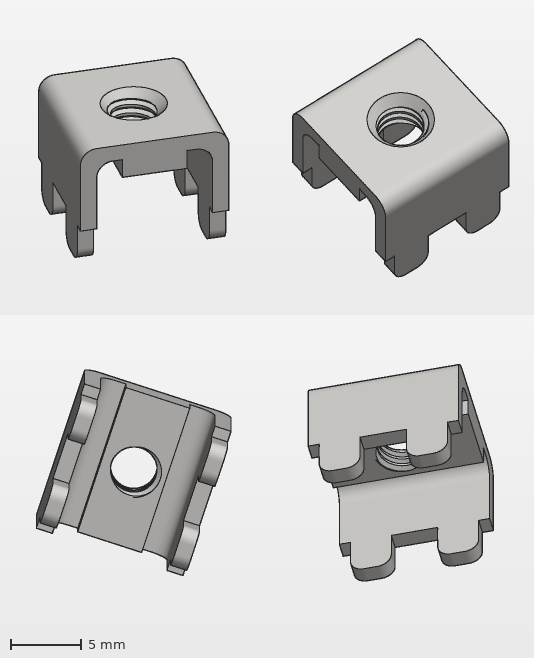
import cadquery as cq
import math

length = 11.0
width = 11.0
height = 9.6
sheet = 1.21
bend_radius = 1.21

shoulder_depth = 6.6
tab_width = 3.0
tab_inset = 0.8
tab_radius = 1.0

rib_width = 4.8
rib_bottom_depth = 2.67

minor_radius = 3.32 / 2
major_radius = 4.0 / 2
countersink_radius = 4.8 / 2
pitch = 0.7
thread_start_depth = 0.41
thread_turns = 4
groove_root_width = pitch / 8
flank_slope = math.tan(math.radians(30))
groove_overlap = 0.05


def make_channel():
    """Inverted U with rounded bends, extending along X."""
    outer = cq.Workplane("XY").box(length, width, height, centered=(True, True, False))
    outer = outer.edges("|X and >Z").fillet(bend_radius)
    inner = cq.Workplane("XY").box(
        length, width - 2 * sheet, height - sheet, centered=(True, True, False)
    )
    inner = inner.edges("|X and >Z").fillet(bend_radius)
    return outer.cut(inner)


def make_leg_outline():
    """Block spanning both legs: full above the shoulders, tabs below."""
    shoulder_z = height - shoulder_depth
    outline = (
        cq.Workplane("XY")
        .workplane(offset=shoulder_z)
        .box(length, width, shoulder_depth, centered=(True, True, False))
    )
    tab_x = length / 2 - tab_inset - tab_width / 2
    for x in (-tab_x, tab_x):
        tab = cq.Workplane("XY").box(tab_width, width, shoulder_z, centered=(True, True, False))
        tab = tab.edges("|Y and <Z").fillet(tab_radius)
        outline = outline.union(tab.translate((x, 0, 0)))
    return outline


def make_rib():
    """Bar along the middle of the web, flush with both ends."""
    rib_height = rib_bottom_depth - sheet
    rib = cq.Workplane("XY").box(length, rib_width, rib_height, centered=(True, True, False))
    return rib.translate((0, 0, height - rib_bottom_depth))


def make_hole():
    """Minor-diameter bore and its conical entry, as one revolved cutter."""
    countersink_depth = countersink_radius - minor_radius
    cutter = (
        cq.Workplane("XZ")
        .moveTo(0, height - rib_bottom_depth)
        .lineTo(minor_radius, height - rib_bottom_depth)
        .lineTo(minor_radius, height - countersink_depth)
        .lineTo(countersink_radius, height)
        .lineTo(0, height)
        .close()
        .revolve(360, (0, 0, 0), (0, 1, 0))
    )
    return cutter.rotate((0, 0, 0), (0, 0, 1), 180)


def make_thread_groove():
    """Right-handed 60 degree groove, swept upward from below the rib."""
    inner_radius = minor_radius - groove_overlap
    root_half = groove_root_width / 2
    mouth_half = root_half + (major_radius - inner_radius) * flank_slope
    thread_length = thread_turns * pitch
    path = cq.Wire.makeHelix(pitch, thread_length, minor_radius)
    groove = (
        cq.Workplane("XZ")
        .moveTo(inner_radius, -mouth_half)
        .lineTo(major_radius, -root_half)
        .lineTo(major_radius, root_half)
        .lineTo(inner_radius, mouth_half)
        .close()
        .sweep(path, isFrenet=True)
    )
    return groove.translate((0, 0, height - thread_start_depth - thread_length))


body = make_channel().intersect(make_leg_outline()).union(make_rib())
result = body.cut(make_hole()).cut(make_thread_groove())